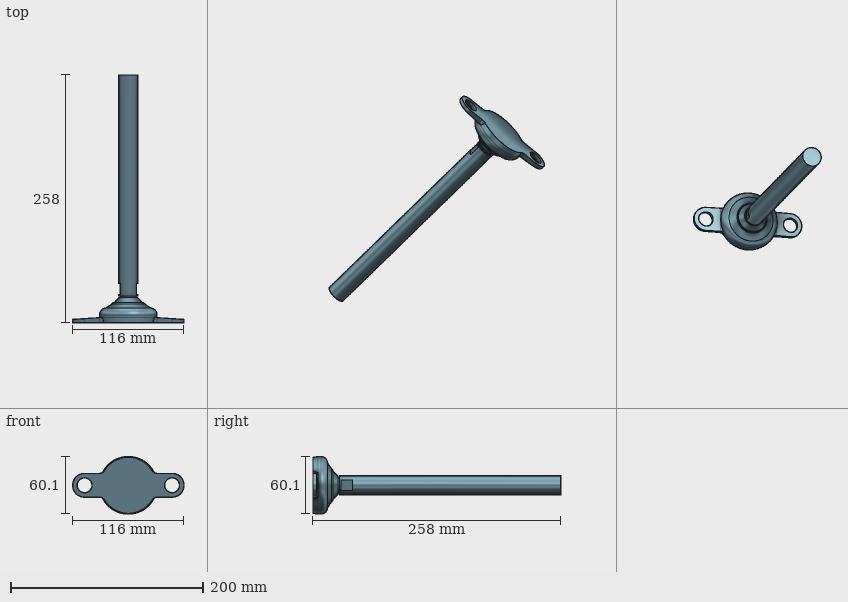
import cadquery as cq
import math

overall_length = 258.0
sole_y = -overall_length / 2

sole_radius = 29.2
base_radius = 30.05
rim_bottom_height = 5.5
rim_top_height = 8.3
shoulder_height = 15.35
shoulder_radius = 23.7
base_height = 21.0
base_top_radius = 16.0
flank_sagitta = 0.45

ear_span = 116.0
ear_radius = 12.51
ear_center_x = ear_span / 2 - ear_radius
ear_hole_diameter = 15.2
ear_root_thickness = 5.5
ear_tip_thickness = 3.5
ear_root_fillet = 6.0

rod_radius = 10.0
cone_top_height = 26.0
cone_top_radius = 9.8
cone_bottom_height = 19.5
cone_bottom_radius = cone_top_radius + cone_top_height - cone_bottom_height
neck_radius = 8.8
neck_length = 1.8
flat_start_height = 29.2
flat_length = 11.9
across_flats = 17.0


def revolve_about_y(profile):
    """Revolve a closed radius-height profile about the Y axis and stand it on the sole."""
    solid = profile.close().revolve(360, (0, 0, 0), (0, 1, 0))
    return solid.translate((0, sole_y, 0))


def make_round_base():
    shoulder_run = base_radius - shoulder_radius
    shoulder_rise = shoulder_height - rim_top_height
    arc_radius = (shoulder_run**2 + shoulder_rise**2) / (2 * shoulder_run)
    half_angle = math.asin(shoulder_rise / arc_radius) / 2
    shoulder_middle = (
        base_radius - arc_radius * (1 - math.cos(half_angle)),
        rim_top_height + arc_radius * math.sin(half_angle),
    )
    profile = (
        cq.Workplane("XY")
        .moveTo(0, base_height)
        .lineTo(base_top_radius, base_height)
        .sagittaArc((shoulder_radius, shoulder_height), -flank_sagitta)
        .threePointArc(shoulder_middle, (base_radius, rim_top_height))
        .lineTo(base_radius, rim_bottom_height)
        .lineTo(sole_radius, 0)
        .lineTo(0, 0)
    )
    return revolve_about_y(profile)


def make_ears():
    """Both ears as one bar, thinning from the rim of the base to the tips."""
    bar = (
        cq.Workplane("XZ", origin=(0, sole_y, 0))
        .slot2D(ear_span, 2 * ear_radius)
        .extrude(-ear_root_thickness)
    )
    taper = (
        cq.Workplane("XY")
        .polyline([
            (-ear_span / 2, 0),
            (ear_span / 2, 0),
            (ear_span / 2, ear_tip_thickness),
            (base_radius, ear_root_thickness),
            (-base_radius, ear_root_thickness),
            (-ear_span / 2, ear_tip_thickness),
        ])
        .close()
        .extrude(ear_radius, both=True)
        .translate((0, sole_y, 0))
    )
    return bar.intersect(taper)


def make_root_fillet():
    """Concave web in the corner at +X, +Z, tangent to the edge of the sole and the ear side."""
    center_z = ear_radius + ear_root_fillet
    center_distance = sole_radius + ear_root_fillet
    center_x = math.sqrt(center_distance**2 - center_z**2)
    sole_tangent = (
        center_x * sole_radius / center_distance,
        center_z * sole_radius / center_distance,
    )
    middle_angle = (math.atan2(-center_z, -center_x) - math.pi / 2) / 2
    arc_middle = (
        center_x + ear_root_fillet * math.cos(middle_angle),
        center_z + ear_root_fillet * math.sin(middle_angle),
    )
    return (
        cq.Workplane("XZ", origin=(0, sole_y, 0))
        .moveTo(*sole_tangent)
        .threePointArc(arc_middle, (center_x, ear_radius))
        .lineTo(center_x, 0)
        .lineTo(0, 0)
        .close()
        .extrude(-ear_root_thickness)
    )


def make_base():
    base = make_round_base().union(make_ears())
    fillet = make_root_fillet()
    for side_fillet in (fillet, fillet.mirror("YZ")):
        base = base.union(side_fillet).union(side_fillet.mirror("XY"))
    holes = (
        cq.Workplane("XZ", origin=(0, sole_y, 0))
        .pushPoints([(-ear_center_x, 0), (ear_center_x, 0)])
        .circle(ear_hole_diameter / 2)
        .extrude(-ear_root_thickness)
    )
    return base.cut(holes)


def make_rod():
    """Rod with a foot cone held in the base, a narrow neck and two wrench flats."""
    neck_top = cone_top_height + neck_length
    profile = (
        cq.Workplane("XY")
        .moveTo(0, cone_bottom_height)
        .lineTo(cone_bottom_radius, cone_bottom_height)
        .lineTo(cone_top_radius, cone_top_height)
        .lineTo(neck_radius, cone_top_height)
        .lineTo(neck_radius, neck_top)
        .lineTo(rod_radius, neck_top)
        .lineTo(rod_radius, overall_length)
        .lineTo(0, overall_length)
    )
    rod = revolve_about_y(profile)
    flat_center_y = sole_y + flat_start_height + flat_length / 2
    for side in (-1, 1):
        cutter_x = side * (across_flats / 2 + rod_radius / 2)
        cutter = cq.Workplane("XY").box(rod_radius, flat_length, 2 * rod_radius)
        rod = rod.cut(cutter.translate((cutter_x, flat_center_y, 0)))
    return rod


rod = make_rod()
base = make_base().cut(rod)

result = cq.Compound.makeCompound([base.val(), rod.val()])